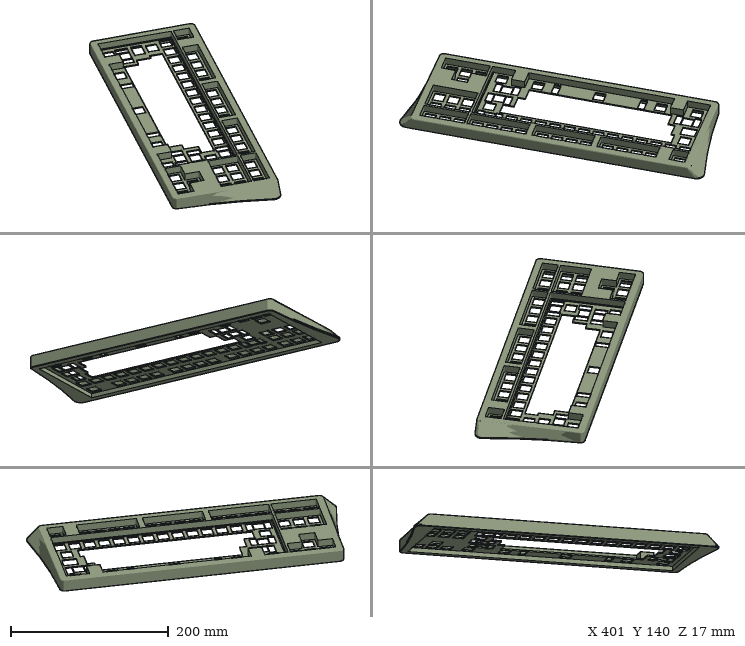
import cadquery as cq
import math

DEPTH = 140.0
HEIGHT = 17.0
WING_SPAN = 401.0
TOP_WIDTH = 368.2
BASE_HEIGHT = 2.5
BASE_INSET = 1.0
CORNER_RADIUS = 6.0
WING_RADIUS = 10.0
TOP_FILLET = 2.0
WING_MID_X = 188.0
WING_MID_Y = -14.5
WING_LEAN = 15.0

MAIN_COLUMNS = 15.0
MAIN_WIDTH = 285.5
PITCH = MAIN_WIDTH / MAIN_COLUMNS
GRID_COLUMNS = 18.25
GRID_ROWS = 6.25
NAV_COLUMN = 15.25
NUMBER_ROW = 1.25
TAB_ROW = NUMBER_ROW + 1
CAPS_ROW = NUMBER_ROW + 2
SHIFT_ROW = NUMBER_ROW + 3
SPACE_ROW = NUMBER_ROW + 4

PLATE_TOP = 7.2
PLATE_THICKNESS = 1.5
PLATE_BOTTOM = PLATE_TOP - PLATE_THICKNESS
CLEARANCE = 1.0
POCKET_RADIUS = 1.0
LEDGE_WIDTH = 1.5
LEDGE_HEIGHT = 1.0
SWITCH_SIZE = 14.0
CAPS_TRAVEL = PITCH / 4
SLOT_WIDTH = 8.5
SLOT_LENGTH = 16.5
SLOT_OFFSET = 12.0
SLOT_SHIFT = 1.2
BLOCKER_COLUMNS = [1.5, 12.5]
SPACE_SLOT_OFFSET = 57.0
SPACE_SLOT_LENGTH = 17.5
SPACE_SLOT_SHIFT = 1.0
WINDOW_INSET = 1.2


def grid_x(column):
    return (column - GRID_COLUMNS / 2) * PITCH


def grid_y(row):
    return (GRID_ROWS / 2 - row) * PITCH


def box_between(x0, x1, y0, y1, z0, z1):
    return cq.Workplane("XY").box(x1 - x0, y1 - y0, z1 - z0, centered=False).translate((x0, y0, z0))


def key_block(column, row, columns, rows, margin, z0, z1):
    """Box over a block of keys, grown by margin on each side."""
    return box_between(
        grid_x(column) - margin,
        grid_x(column + columns) + margin,
        grid_y(row + rows) - margin,
        grid_y(row) + margin,
        z0,
        z1,
    )


def base_outline(z):
    """Flared outline at height z, mirrored about X = 0, with large rounded rear corners."""
    back = DEPTH / 2
    front = -back
    lean = math.radians(WING_LEAN)
    half_sweep = (math.pi / 2 + lean) / 2
    arc_x = WING_SPAN / 2 - WING_RADIUS
    arc_y = back - WING_RADIUS

    def rear_arc_point(angle_from_back):
        return (
            arc_x + WING_RADIUS * math.sin(angle_from_back),
            arc_y + WING_RADIUS * math.cos(angle_from_back),
        )

    def mirrored(point):
        return (-point[0], point[1])

    rear_start = rear_arc_point(0)
    rear_middle = rear_arc_point(half_sweep)
    rear_end = rear_arc_point(2 * half_sweep)
    side_middle = (WING_MID_X, WING_MID_Y)
    front_x = TOP_WIDTH / 2
    corner_gap = CORNER_RADIUS * (1 - math.sqrt(0.5))
    corner_start = (front_x, front + CORNER_RADIUS)
    corner_middle = (front_x - corner_gap, front + corner_gap)
    corner_end = (front_x - CORNER_RADIUS, front)
    return (
        cq.Workplane("XY", origin=(0, 0, z))
        .moveTo(*mirrored(rear_start))
        .lineTo(*rear_start)
        .threePointArc(rear_middle, rear_end)
        .threePointArc(side_middle, corner_start)
        .threePointArc(corner_middle, corner_end)
        .lineTo(*mirrored(corner_end))
        .threePointArc(mirrored(corner_middle), mirrored(corner_start))
        .threePointArc(mirrored(side_middle), mirrored(rear_end))
        .threePointArc(mirrored(rear_middle), mirrored(rear_start))
        .close()
    )


def make_body():
    """Solid case: a thin chamfered base band under sides that blend into a rectangular top."""
    band = base_outline(0).extrude(BASE_HEIGHT)
    band = band.faces("<Z").edges().chamfer(BASE_INSET)
    lower_wire = base_outline(BASE_HEIGHT).wires().val()
    top_block = cq.Workplane("XY").box(TOP_WIDTH, DEPTH, HEIGHT, centered=(True, True, False))
    upper_wire = top_block.edges("|Z").fillet(CORNER_RADIUS).faces(">Z").wires().val()
    flare = cq.Workplane(cq.Solid.makeLoft([lower_wire, upper_wire], True))
    flare = flare.faces(">Z").edges().fillet(TOP_FILLET)
    return band.union(flare)


def make_pockets():
    """Openings in the top that uncover the plate, one per group of keys."""
    key_groups = [
        (0, 0, 1, 1),
        (2, 0, 4, 1),
        (6.5, 0, 4, 1),
        (11, 0, 4, 1),
        (NAV_COLUMN, 0, 3, 1),
        (0, NUMBER_ROW, MAIN_COLUMNS, 5),
        (NAV_COLUMN, NUMBER_ROW, 3, 2),
        (NAV_COLUMN + 1, SHIFT_ROW, 1, 1),
        (NAV_COLUMN, SPACE_ROW, 3, 1),
    ]
    pockets = cq.Workplane("XY")
    for column, row, columns, rows in key_groups:
        pocket = key_block(column, row, columns, rows, CLEARANCE, PLATE_TOP, HEIGHT)
        pocket = pocket.edges("|Z").fillet(POCKET_RADIUS)
        pockets = pockets.union(pocket)
    pockets = pockets.cut(make_ledge())
    for column in BLOCKER_COLUMNS:
        blocker = key_block(column, SPACE_ROW, 1, 1, -CLEARANCE, PLATE_TOP, HEIGHT)
        pockets = pockets.cut(blocker).cut(blocker.translate((0, -2 * CLEARANCE, 0)))
    return pockets


def make_ledge():
    """Low step along the rear and side walls of the main pocket."""
    top = PLATE_TOP + LEDGE_HEIGHT
    block = key_block(0, NUMBER_ROW, MAIN_COLUMNS, 5, CLEARANCE, PLATE_TOP, top)
    inner = key_block(0, NUMBER_ROW, MAIN_COLUMNS, 5, CLEARANCE - LEDGE_WIDTH, PLATE_TOP, top)
    front = inner.translate((0, -LEDGE_WIDTH, 0))
    return block.cut(inner).cut(front)


def plate_hole(column, row, width, length, shift_x=0.0, shift_y=0.0):
    """Through hole centred on a key, then shifted sideways and lengthways."""
    hole = cq.Workplane("XY").box(width, length, HEIGHT, centered=(True, True, False))
    return hole.translate((grid_x(column) + shift_x, grid_y(row + 0.5) + shift_y, 0))


def make_switch_holes():
    switch_columns = {
        0: [0.5, 2.5, 3.5, 4.5, 5.5, 7, 8, 9, 10, 11.5, 12.5, 13.5, 14.5],
        NUMBER_ROW: [key + 0.5 for key in range(13)] + [14],
        TAB_ROW: [0.75, 14.25],
        CAPS_ROW: [13.875],
        SHIFT_ROW: [1.125, 13.625, NAV_COLUMN + 1.5],
        SPACE_ROW: [0.75, 3.25, 7.5, 11.75, 14.25],
    }
    holes = cq.Workplane("XY")
    for row, columns in switch_columns.items():
        for column in columns:
            holes = holes.union(plate_hole(column, row, SWITCH_SIZE, SWITCH_SIZE))
    for row in [0, NUMBER_ROW, TAB_ROW, SPACE_ROW]:
        for key in range(3):
            holes = holes.union(plate_hole(NAV_COLUMN + key + 0.5, row, SWITCH_SIZE, SWITCH_SIZE))
    return holes.union(plate_hole(0.75, CAPS_ROW, SWITCH_SIZE + CAPS_TRAVEL, SWITCH_SIZE))


def make_stabilizer_slots():
    """Pairs of slots beside the wide keys, some shifted lengthways from the switch."""
    pairs = [
        (14, NUMBER_ROW, SLOT_OFFSET, SLOT_LENGTH, 0.0),
        (13.875, CAPS_ROW, SLOT_OFFSET, SLOT_LENGTH, SLOT_SHIFT),
        (1.125, SHIFT_ROW, SLOT_OFFSET, SLOT_LENGTH, -SLOT_SHIFT),
        (13.625, SHIFT_ROW, SLOT_OFFSET, SLOT_LENGTH, -SLOT_SHIFT),
        (7.5, SPACE_ROW, SPACE_SLOT_OFFSET, SPACE_SLOT_LENGTH, SPACE_SLOT_SHIFT),
    ]
    slots = cq.Workplane("XY")
    for column, row, offset, length, shift in pairs:
        for side in (-1, 1):
            slots = slots.union(plate_hole(column, row, SLOT_WIDTH, length, side * offset, shift))
    return slots


def make_alpha_window():
    """Large stepped window through the plate below the letter keys."""
    spans = [(TAB_ROW, 1.5, 13.5), (CAPS_ROW, 1.75, 12.75), (SHIFT_ROW, 2.25, 12.25)]
    window = cq.Workplane("XY")
    for row, first, last in spans:
        window = window.union(key_block(first, row, last - first, 1, -WINDOW_INSET, 0, HEIGHT))
        if row > TAB_ROW:
            window = window.union(key_block(first, row - 0.5, last - first, 1, -WINDOW_INSET, 0, HEIGHT))
    return window


def make_cavity():
    """Hollow underside, open at the bottom and closed by the plate."""
    return key_block(0, 0, GRID_COLUMNS, GRID_ROWS, CLEARANCE, 0, PLATE_BOTTOM)


result = (
    make_body()
    .cut(make_cavity())
    .cut(make_pockets())
    .cut(make_switch_holes())
    .cut(make_stabilizer_slots())
    .cut(make_alpha_window())
)